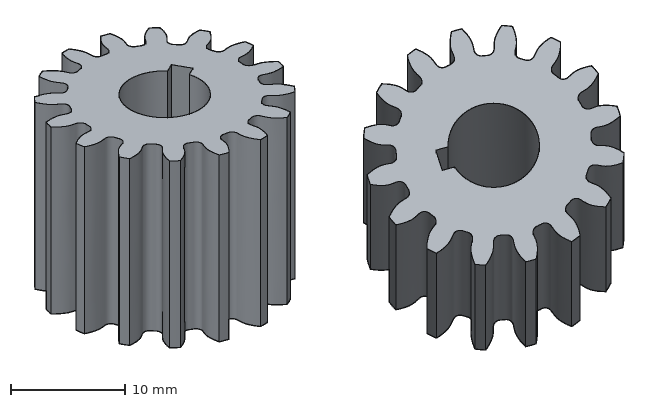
import cadquery as cq
import math

INCH = 25.4
TOOTH_COUNT = 16
DIAMETRAL_PITCH = 20
PRESSURE_ANGLE = math.radians(14.5)
FACE_WIDTH = 0.75 * INCH
DEDENDUM_FACTOR = 1.25
ROOT_FILLET_RADIUS = 0.025 * INCH
TOOTH_THINNING = 0.09

BORE_DIAMETER = 8.0
KEYWAY_WIDTH = 2.0
KEYWAY_TOP = 5.0

MODULE = INCH / DIAMETRAL_PITCH
PITCH_RADIUS = MODULE * TOOTH_COUNT / 2
TIP_RADIUS = PITCH_RADIUS + MODULE
ROOT_RADIUS = PITCH_RADIUS - DEDENDUM_FACTOR * MODULE
BASE_RADIUS = PITCH_RADIUS * math.cos(PRESSURE_ANGLE)

TOOTH_PITCH_ANGLE = 2 * math.pi / TOOTH_COUNT
FLANK_POINTS = 7


def involute(angle):
    """Polar angle swept by an involute at the given pressure angle."""
    return math.tan(angle) - angle


PITCH_HALF_ANGLE = TOOTH_PITCH_ANGLE / 4 - TOOTH_THINNING / (2 * PITCH_RADIUS)
BASE_HALF_ANGLE = PITCH_HALF_ANGLE + involute(PRESSURE_ANGLE)


def polar(radius, angle):
    """XY point at a radius and an angle from +X."""
    return (radius * math.cos(angle), radius * math.sin(angle))


def flank_offsets():
    """(radius, half tooth angle) pairs: radial from the root to the base circle, involute to the tip."""
    offsets = [(ROOT_RADIUS, BASE_HALF_ANGLE)]
    for i in range(FLANK_POINTS):
        radius = BASE_RADIUS + (TIP_RADIUS - BASE_RADIUS) * i / (FLANK_POINTS - 1)
        half_angle = BASE_HALF_ANGLE - involute(math.acos(BASE_RADIUS / radius))
        offsets.append((radius, half_angle))
    return offsets


def tooth_space_cutter():
    """Prism filling the gap between two teeth, centred on the +X axis, with a filleted root."""
    half_pitch = TOOTH_PITCH_ANGLE / 2
    offsets = flank_offsets()
    lower_flank = [polar(r, a - half_pitch) for r, a in offsets]
    upper_flank = [polar(r, half_pitch - a) for r, a in offsets]
    root_half_angle = half_pitch - BASE_HALF_ANGLE
    tip_direction = offsets[-1][1] - half_pitch - math.acos(BASE_RADIUS / TIP_RADIUS)
    lower_start = polar(1, -root_half_angle)
    lower_end = polar(1, tip_direction)
    upper_start = polar(-1, -tip_direction)
    upper_end = polar(-1, root_half_angle)
    outer_x = TIP_RADIUS + MODULE

    cutter = (
        cq.Workplane("XY")
        .moveTo(*lower_flank[0])
        .spline(lower_flank[1:], tangents=[lower_start, lower_end], includeCurrent=True)
        .lineTo(outer_x, lower_flank[-1][1])
        .lineTo(outer_x, upper_flank[-1][1])
        .lineTo(*upper_flank[-1])
        .spline(upper_flank[-2::-1], tangents=[upper_start, upper_end], includeCurrent=True)
        .threePointArc((ROOT_RADIUS, 0), lower_flank[0])
        .close()
        .extrude(FACE_WIDTH)
    )
    root_corner_limit = (ROOT_RADIUS + BASE_RADIUS) / 2
    root_corners = cq.selectors.BoxSelector(
        (0, -PITCH_RADIUS, 0), (root_corner_limit, PITCH_RADIUS, FACE_WIDTH)
    )
    return cutter.edges("|Z").edges(root_corners).fillet(ROOT_FILLET_RADIUS)


def gear_body():
    """Toothed cylinder with one tooth centred on +X."""
    body = cq.Workplane("XY").circle(TIP_RADIUS).extrude(FACE_WIDTH)
    cutter = tooth_space_cutter()
    for i in range(TOOTH_COUNT):
        space_angle = math.degrees((i + 0.5) * TOOTH_PITCH_ANGLE)
        body = body.cut(cutter.rotate((0, 0, 0), (0, 0, 1), space_angle))
    return body


def keyed_bore():
    """Through bore joined with a rectangular keyway on the +Y side."""
    bore = cq.Workplane("XY").circle(BORE_DIAMETER / 2).extrude(FACE_WIDTH)
    keyway = cq.Workplane("XY").box(KEYWAY_WIDTH, KEYWAY_TOP, FACE_WIDTH, (True, False, False))
    return bore.union(keyway)


result = gear_body().cut(keyed_bore())